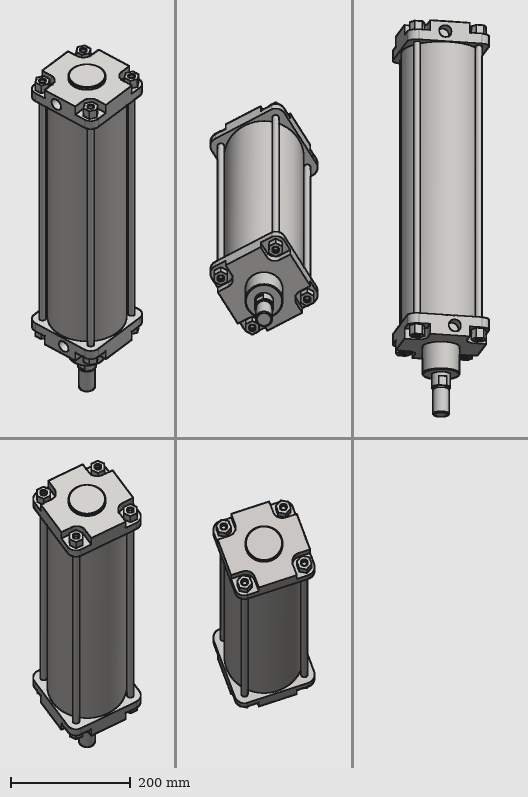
import cadquery as cq
import math

total_length = 674.0

cap_side = 140.0
cap_thickness = 35.0
cap_corner_radius = 16.0
corner_recess_depth = 17.5
recess_offset = 34.0
port_diameter = 21.0
port_offset = 8.0
port_depth = 20.0

disc_diameter = 63.0
disc_height = 5.5
disc_chamfer = 1.5
boss_diameter = 63.0
boss_length = 48.0
boss_chamfer = 1.5

rod_diameter = 32.0
rod_protrusion = 23.0
rod_flat_width = 28.0
rod_flat_length = 16.0
neck_diameter = 26.0
neck_length = 3.5
thread_diameter = 27.5
thread_length = 44.5
thread_chamfer = 2.0

barrel_diameter = 133.5

tie_rod_spacing = 106.0
tie_rod_diameter = 11.5
head_width = 22.0
head_height = 17.0
socket_diameter = 9.5
socket_depth = 8.0
socket_chamfer = 1.5

shoulder_z = thread_length + neck_length
boss_end_z = shoulder_z + rod_protrusion
front_face_z = boss_end_z + boss_length
front_seat_z = front_face_z + cap_thickness
rear_face_z = total_length - disc_height
rear_seat_z = rear_face_z - cap_thickness
front_ledge_z = front_face_z + corner_recess_depth
rear_ledge_z = rear_face_z - corner_recess_depth

tie_rod_offset = tie_rod_spacing / 2
corners = [(sx * tie_rod_offset, sy * tie_rod_offset) for sx in (-1, 1) for sy in (-1, 1)]


def cylinder(diameter, bottom_z, height):
    return cq.Workplane("XY").workplane(offset=bottom_z).circle(diameter / 2).extrude(height)


def corner_recesses(bottom_z):
    """Four square pockets at the cap corners, rounded towards the axis."""
    pocket_side = cap_side - 2 * recess_offset
    return (
        cq.Workplane("XY")
        .workplane(offset=bottom_z)
        .rect(cap_side, cap_side, forConstruction=True)
        .vertices()
        .rect(pocket_side, pocket_side)
        .extrude(corner_recess_depth)
        .edges("|Z")
        .fillet(cap_corner_radius)
    )


def port(x, z):
    """Blind air port in the -Y face."""
    mouth = cq.Workplane("XZ", origin=(x, -cap_side / 2, z))
    return mouth.circle(port_diameter / 2).extrude(-port_depth)


def end_cap(bottom_z, recess_bottom_z, port_x):
    """Square cap with corner recesses, holes for the tie rods and one air port."""
    cap = (
        cq.Workplane("XY")
        .workplane(offset=bottom_z)
        .rect(cap_side, cap_side)
        .extrude(cap_thickness)
        .edges("|Z")
        .fillet(cap_corner_radius)
    )
    tie_rod_holes = (
        cq.Workplane("XY")
        .workplane(offset=bottom_z)
        .pushPoints(corners)
        .circle(tie_rod_diameter / 2)
        .extrude(cap_thickness)
    )
    port_z = bottom_z + cap_thickness / 2
    return cap.cut(corner_recesses(recess_bottom_z)).cut(tie_rod_holes).cut(port(port_x, port_z))


def make_rear_cap():
    disc = cylinder(disc_diameter, rear_face_z, disc_height).faces(">Z").chamfer(disc_chamfer)
    return end_cap(rear_seat_z, rear_ledge_z, -port_offset).union(disc)


def make_front_cap():
    boss = cylinder(boss_diameter, boss_end_z, boss_length).faces("<Z").chamfer(boss_chamfer)
    rod_bore = cylinder(rod_diameter, boss_end_z, front_seat_z - boss_end_z)
    return end_cap(front_face_z, front_face_z, port_offset).union(boss).cut(rod_bore)


def make_barrel():
    return cylinder(barrel_diameter, front_seat_z, rear_seat_z - front_seat_z)


def make_piston_rod():
    """Rod through the front cap up to the barrel, with wrench flats, a neck and a threaded end."""
    shank = cylinder(rod_diameter, shoulder_z, front_seat_z - shoulder_z)
    flat_zone = cq.Workplane("XY").workplane(offset=shoulder_z)
    around_flats = flat_zone.rect(rod_diameter, rod_diameter).rect(rod_diameter, rod_flat_width)
    shank = shank.cut(around_flats.extrude(rod_flat_length))
    neck = cylinder(neck_diameter, thread_length, neck_length)
    thread = cylinder(thread_diameter, 0, thread_length).faces("<Z").chamfer(thread_chamfer)
    return shank.union(neck).union(thread)


def make_tie_rod(x, y):
    """Rod between the recess floors with a socketed hexagon head at each end."""
    head_corner_diameter = head_width / math.cos(math.pi / 6)
    tie_rod = cylinder(tie_rod_diameter, front_ledge_z, rear_ledge_z - front_ledge_z)
    for ledge_z, outward in ((front_ledge_z, -1), (rear_ledge_z, 1)):
        plane = cq.Plane(origin=(0, 0, ledge_z), xDir=(1, 0, 0), normal=(0, 0, outward))
        head = cq.Workplane(plane).polygon(6, head_corner_diameter).extrude(head_height)
        head_end = cq.Workplane(plane).workplane(offset=head_height)
        socket = head_end.circle(socket_diameter / 2).extrude(-socket_depth)
        mouth_radius = socket_diameter / 2 + socket_chamfer
        countersink = head_end.circle(mouth_radius).extrude(-socket_chamfer, taper=45)
        tie_rod = tie_rod.union(head).cut(socket).cut(countersink)
    return tie_rod.translate((x, y, 0))


rear_cap = make_rear_cap()
front_cap = make_front_cap()
barrel = make_barrel()
piston_rod = make_piston_rod()
tie_rods = [make_tie_rod(x, y) for x, y in corners]

result = cq.Compound.makeCompound(
    [
        rear_cap.val(),
        front_cap.val(),
        barrel.val(),
        piston_rod.val(),
        *[tie_rod.val() for tie_rod in tie_rods],
    ]
)